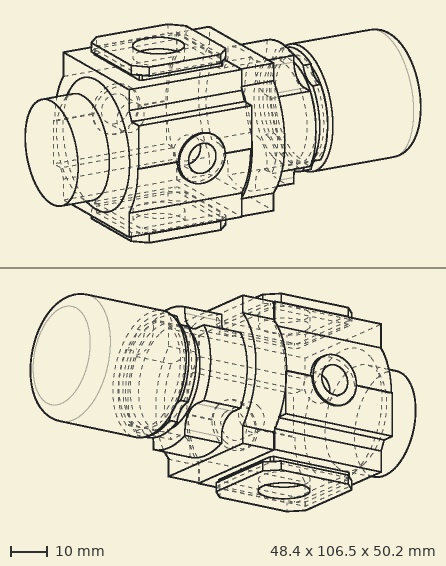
import cadquery as cq
import math


BOWL_CONE_START = 9.7
BLOCK_START = 13.8
PORT_Y = 33.2
BLOCK_END = 48.9
FLANGE_END = 59.0
CASTLE_END = 71.0
RING_START = 73.8
RING_END = 76.3
KNOB_START = 77.5
KNOB_END = 106.5

BLOCK_HALF_WIDTH = 18.2
BLOCK_HALF_HEIGHT = 21.1
SIDE_ARC_RADIUS = 23.1
PAD_HALF_WIDTH = 23.6
PAD_HEIGHT = 12.4
PAD_FOOT_X = 19.7
PAD_FOOT_TOP = 15.1

BOWL_RADIUS = 14.7
BOWL_CONE_RADIUS = 18.5

PLATE_SIDE = 29.4
PLATE_CORNER = 3.6
PLATE_TOP = 25.1
PLATE_THICKNESS = 2.6
PLATE_NECK_SIDE = 26.0
PLATE_NECK_CORNER = 0.6
PORT_RADIUS = 7.0
PORT_DEPTH = 3.3

BOSS_RADIUS = 7.1
BOSS_HALF_SPAN = 24.2
GAUGE_HOLE_RADIUS = 4.3
GAUGE_HOLE_DEPTH = 8.5

FLANGE_HALF_WIDTH = 17.8
FLANGE_RADIUS = 24.0
CASTLE_RADIUS = 19.8
NECK_RADIUS = 14.7
RING_RADIUS = 16.9
KNOB_RADIUS = 17.6
KNOB_FILLET = 3.9

CLEARANCE_X = 13.3
CLEARANCE_Z = 16.5
CLEARANCE_RADIUS = 5.8

HALF_TURN = 180


def section_at(y):
    """Workplane across the axis at y: local x is X, local y is Z, negative extrusions run toward +Y."""
    return cq.Workplane(cq.Plane(origin=(0, y, 0), xDir=(1, 0, 0), normal=(0, -1, 0)))


def disc(radius, start, end):
    return section_at(start).circle(radius).extrude(start - end)


def slab(width, height, start, end):
    return section_at(start).rect(width, height).extrude(start - end)


def trimmed_barrel(radius, start, end):
    """Cylinder cut off flat at the height of the block."""
    return disc(radius, start, end).intersect(slab(2 * radius, 2 * BLOCK_HALF_HEIGHT, start, end))


def make_right_pad():
    """Flat-sided pad in the upper right quarter, with a sloping foot where it meets the core."""
    return (
        section_at(BLOCK_START)
        .polyline([
            (0, 0),
            (PAD_HALF_WIDTH, 0),
            (PAD_HALF_WIDTH, PAD_HEIGHT),
            (PAD_FOOT_X, PAD_HEIGHT),
            (BLOCK_HALF_WIDTH, PAD_FOOT_TOP),
            (0, PAD_FOOT_TOP),
        ])
        .close()
        .extrude(BLOCK_START - BLOCK_END)
    )


def make_block():
    """Rectangular core with a round cheek and a flat pad sharing each side."""
    quarter = slab(PAD_HALF_WIDTH, BLOCK_HALF_HEIGHT, BLOCK_START, BLOCK_END)
    quarter = quarter.translate((PAD_HALF_WIDTH / 2, 0, -BLOCK_HALF_HEIGHT / 2))
    right_cheek = trimmed_barrel(SIDE_ARC_RADIUS, BLOCK_START, BLOCK_END).intersect(quarter)
    right_side = right_cheek.union(make_right_pad())
    block = slab(2 * BLOCK_HALF_WIDTH, 2 * BLOCK_HALF_HEIGHT, BLOCK_START, BLOCK_END)
    for turn in (0, HALF_TURN):
        block = block.union(right_side.rotate((0, 0, 0), (0, 1, 0), turn))
    return block


def make_bowl():
    """Turned front end: a plain cylinder flaring out through a cone to the block."""
    return (
        cq.Workplane("XY")
        .polyline([
            (0, 0),
            (BOWL_RADIUS, 0),
            (BOWL_RADIUS, BOWL_CONE_START),
            (BOWL_CONE_RADIUS, BLOCK_START),
            (0, BLOCK_START),
        ])
        .close()
        .revolve(360, (0, 0, 0), (0, 1, 0))
    )


def make_square_plate(side, corner, bottom, top):
    return (
        cq.Workplane("XY", origin=(0, PORT_Y, bottom))
        .rect(side, side)
        .extrude(top - bottom)
        .edges("|Z")
        .chamfer(corner)
    )


def make_top_port():
    """Chamfered plate standing off the block on a slightly smaller neck."""
    plate_bottom = PLATE_TOP - PLATE_THICKNESS
    neck = make_square_plate(PLATE_NECK_SIDE, PLATE_NECK_CORNER, BLOCK_HALF_HEIGHT, plate_bottom)
    return neck.union(make_square_plate(PLATE_SIDE, PLATE_CORNER, plate_bottom, PLATE_TOP))


def make_top_port_hole():
    return (
        cq.Workplane("XY", origin=(0, PORT_Y, PLATE_TOP - PORT_DEPTH))
        .circle(PORT_RADIUS)
        .extrude(PORT_DEPTH)
    )


def make_right_gauge_hole():
    return (
        cq.Workplane("YZ", origin=(BOSS_HALF_SPAN - GAUGE_HOLE_DEPTH, PORT_Y, 0))
        .circle(GAUGE_HOLE_RADIUS)
        .extrude(GAUGE_HOLE_DEPTH)
    )


def make_body():
    bosses = (
        cq.Workplane("YZ", origin=(-BOSS_HALF_SPAN, PORT_Y, 0))
        .circle(BOSS_RADIUS)
        .extrude(2 * BOSS_HALF_SPAN)
    )
    body = make_block().union(make_bowl()).union(bosses)
    for turn in (0, HALF_TURN):
        body = body.union(make_top_port().rotate((0, 0, 0), (0, 1, 0), turn))
    for turn in (0, HALF_TURN):
        body = body.cut(make_top_port_hole().rotate((0, 0, 0), (0, 1, 0), turn))
        body = body.cut(make_right_gauge_hole().rotate((0, 0, 0), (0, 1, 0), turn))
    return body


def make_corner_clearance(side_x, side_z):
    """Corner cutter: a round screw clearance opening outward in X and Z."""
    reach = 2 * CLEARANCE_RADIUS
    inner_x = CLEARANCE_X - CLEARANCE_RADIUS
    inner_z = CLEARANCE_Z - CLEARANCE_RADIUS
    diagonal = CLEARANCE_RADIUS * math.sqrt(0.5)
    outline = (
        section_at(FLANGE_END)
        .moveTo(side_x * inner_x, side_z * CLEARANCE_Z)
        .threePointArc(
            (side_x * (CLEARANCE_X - diagonal), side_z * (CLEARANCE_Z - diagonal)),
            (side_x * CLEARANCE_X, side_z * inner_z),
        )
        .lineTo(side_x * (CLEARANCE_X + reach), side_z * inner_z)
        .lineTo(side_x * (CLEARANCE_X + reach), side_z * (CLEARANCE_Z + reach))
        .lineTo(side_x * inner_x, side_z * (CLEARANCE_Z + reach))
        .close()
    )
    return outline.extrude(FLANGE_END - KNOB_START)


def make_bonnet():
    """Flange, notched collar, neck, ring and knob as one piece behind the body."""
    flange = slab(2 * FLANGE_HALF_WIDTH, 2 * BLOCK_HALF_HEIGHT, BLOCK_END, FLANGE_END)
    flange = flange.union(trimmed_barrel(FLANGE_RADIUS, BLOCK_END, FLANGE_END))
    upper = disc(CASTLE_RADIUS, FLANGE_END, CASTLE_END)
    upper = upper.union(disc(NECK_RADIUS, CASTLE_END, KNOB_START))
    upper = upper.union(disc(RING_RADIUS, RING_START, RING_END))
    for side_x in (-1, 1):
        for side_z in (-1, 1):
            upper = upper.cut(make_corner_clearance(side_x, side_z))
    knob = disc(KNOB_RADIUS, KNOB_START, KNOB_END).faces(">Y").edges().fillet(KNOB_FILLET)
    return flange.union(upper).union(knob)


body = make_body()
bonnet = make_bonnet()

result = cq.Compound.makeCompound([body.val(), bonnet.val()])